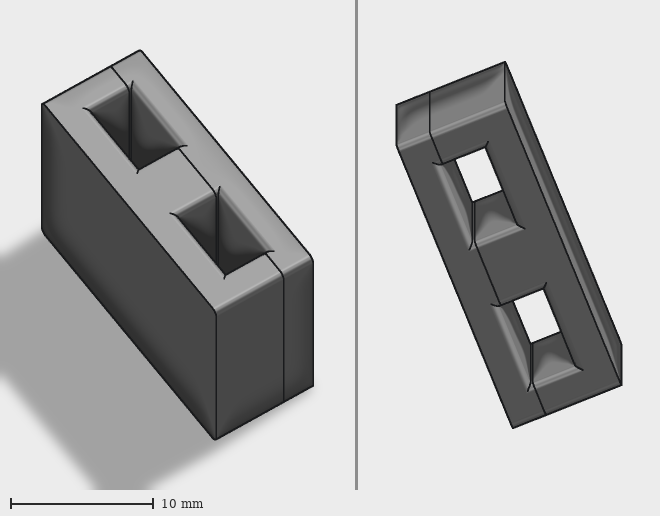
import cadquery as cq

width = 21.8
depth = 8.2
height = 15.8
edge_radius = 0.5

cover_thickness = 2.5
body_depth = depth - cover_thickness

channel_width = 5.9
channel_depth = 3.35
channel_spacing = 10.85
front_wall = 2.5

front_y = -depth / 2
split_y = front_y + body_depth
channel_y = front_y + front_wall + channel_depth / 2


def make_channel(x):
    """Through-channel volume whose two mouths flare out with a convex round."""
    channel = cq.Workplane("XY").box(channel_width, channel_depth, height)
    for end in (-1, 1):
        channel = channel.union(make_mouth(end))
    return channel.translate((x, channel_y, 0))


def make_mouth(end):
    """Rounded flare at the top (end = 1) or bottom (end = -1) of a channel."""
    outer_width = channel_width + 2 * edge_radius
    outer_depth = channel_depth + 2 * edge_radius
    mouth = cq.Workplane("XY").box(outer_width, outer_depth, edge_radius)
    mouth = mouth.translate((0, 0, end * (height - edge_radius) / 2))

    round_z = end * (height / 2 - edge_radius)
    for side in (-1, 1):
        side_round = cq.Workplane("XZ").center(side * outer_width / 2, round_z)
        mouth = mouth.cut(side_round.circle(edge_radius).extrude(outer_depth / 2, both=True))
        wall_round = cq.Workplane("YZ").center(side * outer_depth / 2, round_z)
        mouth = mouth.cut(wall_round.circle(edge_radius).extrude(outer_width / 2, both=True))
    return mouth


def make_shell_half(start_y, length):
    """Slice of the round-cornered block, with its share of the channels removed."""
    half = cq.Workplane("XY").box(width, length, height).edges("|Y").fillet(edge_radius)
    half = half.translate((0, start_y + length / 2, 0))
    for side in (-1, 1):
        half = half.cut(make_channel(side * channel_spacing / 2))
    return half


body = make_shell_half(front_y, body_depth)
cover = make_shell_half(split_y, cover_thickness)

result = cq.Compound.makeCompound([body.solids().val(), cover.solids().val()])